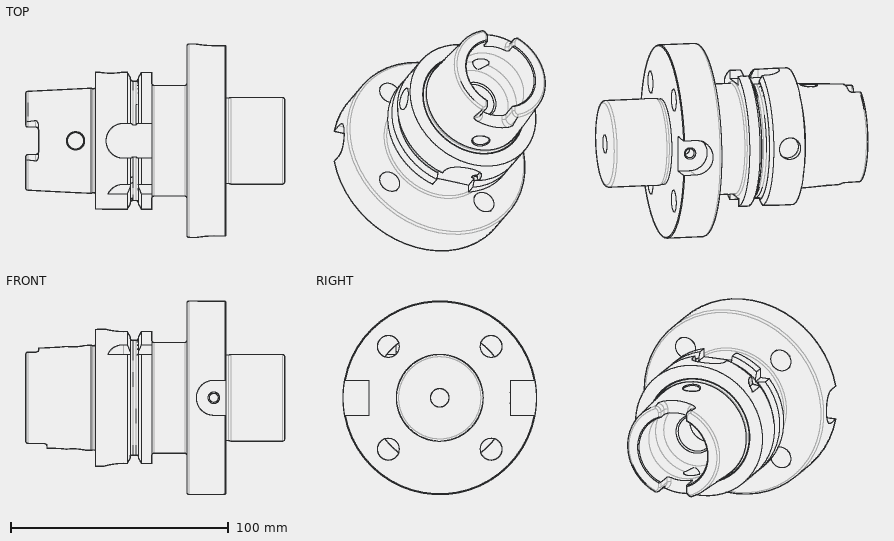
import cadquery as cq
import math


TAPER_FRONT_X = -32.0
TAPER_END_X = -2.0
COLLAR_END_X = 26.0
FLANGE_FRONT_X = 42.0
FLANGE_BACK_X = 60.0
SPIGOT_END_X = 87.0

GAUGE_RADIUS = 48.02 / 2
GAUGE_X = -6.3
TAPER_PER_SIDE = 1 / 20
FRONT_ROUND = 1.0
RELIEF_RADIUS = 24.0
RELIEF_FRONT_X = -1.3
RELIEF_BACK_X = -0.6
FACE_RELIEF_RADIUS = 25.2
FACE_RELIEF_DEPTH = 0.2
RELIEF_ROUND = FACE_RELIEF_DEPTH - RELIEF_BACK_X
FACE_RELIEF_INNER_RADIUS = RELIEF_RADIUS + RELIEF_ROUND

COLLAR_RADIUS = 63.0 / 2
GROOVE_CENTRE_X = 17.9
GROOVE_FLOOR_RADIUS = 55.0 / 2
GROOVE_THROAT_HALF_WIDTH = 1.8
GROOVE_FLANK_DEPTH = 2.5
GROOVE_FLANK_ANGLE = 60.0
GROOVE_FLOOR_ROUND = 1.1

NECK_RADIUS = 51.0 / 2
NECK_ROUND = 0.9
FLANGE_RADIUS = 89.0 / 2
FLANGE_FRONT_ROUND = 1.0
FLANGE_BACK_CHAMFER = 0.4
SPIGOT_RADIUS = 40.0 / 2
SPIGOT_RELIEF_RADIUS = 39.4 / 2
SPIGOT_RELIEF_FLAT = 1.2
SPIGOT_RELIEF_LENGTH = 2.4
SPIGOT_END_ROUND = 1.1

CLAMP_BORE_RADIUS = 34.0 / 2
CLAMP_BORE_CHAMFER = 0.5
CLAMP_BORE_END_X = -19.5
CAVITY_FLOOR_RADIUS = 37.0 / 2
CAVITY_FLOOR_X = -5.2
CAVITY_FLOOR_ROUND = 2.8
TUBE_BORE_RADIUS = 17.0 / 2
TUBE_BORE_MOUTH_RADIUS = 18.5 / 2
TUBE_BORE_DEPTH = 15.0
COOLANT_RADIUS = 8.4 / 2

DRIVE_SLOT_WIDTH = 12.54
DRIVE_SLOT_FLARE_RADIUS = 2.75
DRIVE_SLOT_TOP = 21.0
DRIVE_SLOT_ROOT = CLAMP_BORE_RADIUS / 2
DRIVE_SLOT_FLOOR_ROUND = 1.4
UPPER_DRIVE_SLOT_DEPTH = 5.9
LOWER_DRIVE_SLOT_DEPTH = 9.7

ACCESS_HOLE_X = -9.1
ACCESS_HOLE_RADIUS = 7.5 / 2
ACCESS_HOLE_CHAMFER = 0.45

COLLAR_SLOT_CENTRE_X = 12.9
COLLAR_SLOT_FLOOR = 26.5
UPPER_COLLAR_SLOT_WIDTH = 16.0
LOWER_COLLAR_SLOT_WIDTH = 18.0
NOTCH_WALL = 20.0
NOTCH_CUTTER_RADIUS = 8.0
CHIP_HOLE_X = 7.0
CHIP_HOLE_RADIUS = 10.0 / 2
CHIP_HOLE_DEPTH = 4.6

KEY_SEAT_WIDTH = 16.1
KEY_SEAT_CENTRE_X = 54.4
KEY_SEAT_FLOOR = 32.5
KEY_SCREW_RADIUS = 4.13 / 2
KEY_SCREW_CHAMFER = 0.6
KEY_SCREW_DEPTH = 10.0
MOUNTING_HOLE_RADIUS = 10.0 / 2
MOUNTING_CIRCLE_RADIUS = 66.7 / 2
MOUNTING_HOLE_COUNT = 4

CLEARANCE = 1.0
OUTSIDE = COLLAR_RADIUS
DIAGONAL = math.sqrt(0.5)


def taper_radius(x):
    return GAUGE_RADIUS + (x - GAUGE_X) * TAPER_PER_SIDE


def disc(x_start, x_end, radius):
    """Cylinder on the tool axis."""
    return cq.Workplane("YZ", origin=(x_start, 0, 0)).circle(radius).extrude(x_end - x_start)


def revolved(points):
    """Solid of revolution about X from (x, radius) points that run outside the axis."""
    closed = [(points[0][0], 0)] + points + [(points[-1][0], 0)]
    return cq.Workplane("XY").polyline(closed).close().revolve(360, (0, 0, 0), (1, 0, 0))


def taper_shank():
    """Cone, relief groove and a quarter round that runs into the face relief."""
    sag = RELIEF_ROUND * (1 - DIAGONAL)
    return (
        cq.Workplane("XY")
        .moveTo(TAPER_FRONT_X, 0)
        .lineTo(TAPER_FRONT_X, taper_radius(TAPER_FRONT_X))
        .lineTo(TAPER_END_X, taper_radius(TAPER_END_X))
        .lineTo(RELIEF_FRONT_X, RELIEF_RADIUS)
        .lineTo(RELIEF_BACK_X, RELIEF_RADIUS)
        .threePointArc(
            (FACE_RELIEF_DEPTH - sag, RELIEF_RADIUS + sag),
            (FACE_RELIEF_DEPTH, FACE_RELIEF_INNER_RADIUS),
        )
        .lineTo(FACE_RELIEF_DEPTH, 0)
        .close()
        .revolve(360, (0, 0, 0), (1, 0, 0))
    )


def face_relief():
    """Shallow undercut of the contact face around the root of the taper."""
    return revolved([(0, FACE_RELIEF_RADIUS), (FACE_RELIEF_DEPTH, FACE_RELIEF_INNER_RADIUS)])


def clamping_cavity():
    """Cylindrical mouth bore, then a slowly widening cone down to a rounded floor."""
    mouth_radius = CLAMP_BORE_RADIUS + CLAMP_BORE_CHAMFER
    cavity = revolved([
        (TAPER_FRONT_X, mouth_radius),
        (TAPER_FRONT_X + CLAMP_BORE_CHAMFER, CLAMP_BORE_RADIUS),
        (CLAMP_BORE_END_X, CLAMP_BORE_RADIUS),
        (CAVITY_FLOOR_X, CAVITY_FLOOR_RADIUS),
    ])
    return cavity.faces(">X").edges().fillet(CAVITY_FLOOR_ROUND)


def drive_slot(depth):
    """Slot on the +Z side whose walls flare outward in arcs, with a rounded floor."""
    half_width = DRIVE_SLOT_WIDTH / 2
    flare_end = half_width + DRIVE_SLOT_FLARE_RADIUS
    flare_start_z = DRIVE_SLOT_TOP - DRIVE_SLOT_FLARE_RADIUS
    arc_mid_y = flare_end - DRIVE_SLOT_FLARE_RADIUS * DIAGONAL
    arc_mid_z = flare_start_z + DRIVE_SLOT_FLARE_RADIUS * DIAGONAL
    cutter = (
        cq.Workplane("YZ", origin=(TAPER_FRONT_X, 0, 0))
        .moveTo(-half_width, DRIVE_SLOT_ROOT)
        .lineTo(half_width, DRIVE_SLOT_ROOT)
        .lineTo(half_width, flare_start_z)
        .threePointArc((arc_mid_y, arc_mid_z), (flare_end, DRIVE_SLOT_TOP))
        .lineTo(OUTSIDE, DRIVE_SLOT_TOP)
        .lineTo(OUTSIDE, OUTSIDE)
        .lineTo(-OUTSIDE, OUTSIDE)
        .lineTo(-OUTSIDE, DRIVE_SLOT_TOP)
        .lineTo(-flare_end, DRIVE_SLOT_TOP)
        .threePointArc((-arc_mid_y, arc_mid_z), (-half_width, flare_start_z))
        .close()
        .extrude(depth)
    )
    wall_edges = cq.selectors.BoxSelector(
        (TAPER_FRONT_X + depth - CLEARANCE, -OUTSIDE + CLEARANCE, DRIVE_SLOT_ROOT + CLEARANCE),
        (TAPER_FRONT_X + depth + CLEARANCE, OUTSIDE - CLEARANCE, OUTSIDE - CLEARANCE),
    )
    return cutter.faces(">X").edges(wall_edges).fillet(DRIVE_SLOT_FLOOR_ROUND)


def flip_to_minus_z(cutter):
    return cutter.rotate((0, 0, 0), (1, 0, 0), 180)


def half_shank(slot_depth):
    """Solid half of the shank on the +Z side, with its drive slot and access hole."""
    shank = taper_shank().cut(drive_slot(slot_depth))
    front_rim = [
        edge
        for edge in shank.faces("<X").edges().vals()
        if math.hypot(edge.positionAt(0.5).y, edge.positionAt(0.5).z) > DRIVE_SLOT_ROOT + CLEARANCE
    ]
    shank = shank.newObject(front_rim).fillet(FRONT_ROUND)
    access_hole = (
        cq.Workplane("XY", origin=(ACCESS_HOLE_X, 0, 0))
        .circle(ACCESS_HOLE_RADIUS)
        .extrude(OUTSIDE)
    )
    mouth_edge = cq.selectors.BoxSelector(
        (ACCESS_HOLE_X - CLEARANCE, -CLEARANCE, CLAMP_BORE_RADIUS),
        (ACCESS_HOLE_X + CLEARANCE, CLEARANCE, OUTSIDE),
    )
    shank = shank.cut(access_hole).edges(mouth_edge).chamfer(ACCESS_HOLE_CHAMFER)
    upper_side = cq.Workplane("XY").rect(2 * FLANGE_RADIUS, 2 * FLANGE_RADIUS).extrude(OUTSIDE)
    return shank.intersect(upper_side)


def hollow_shank():
    upper = half_shank(UPPER_DRIVE_SLOT_DEPTH)
    lower = flip_to_minus_z(half_shank(LOWER_DRIVE_SLOT_DEPTH))
    return upper.union(lower).cut(clamping_cavity())


def gripper_groove():
    """Ring-shaped V-groove with straight throat walls and a rounded floor."""
    flank_width = GROOVE_FLANK_DEPTH / math.tan(math.radians(GROOVE_FLANK_ANGLE))
    mouth_half_width = GROOVE_THROAT_HALF_WIDTH + flank_width
    throat_radius = COLLAR_RADIUS - GROOVE_FLANK_DEPTH
    blank = disc(GROOVE_CENTRE_X - mouth_half_width, GROOVE_CENTRE_X + mouth_half_width, COLLAR_RADIUS)
    core = revolved([
        (GROOVE_CENTRE_X - mouth_half_width, COLLAR_RADIUS),
        (GROOVE_CENTRE_X - GROOVE_THROAT_HALF_WIDTH, throat_radius),
        (GROOVE_CENTRE_X - GROOVE_THROAT_HALF_WIDTH, GROOVE_FLOOR_RADIUS),
        (GROOVE_CENTRE_X + GROOVE_THROAT_HALF_WIDTH, GROOVE_FLOOR_RADIUS),
        (GROOVE_CENTRE_X + GROOVE_THROAT_HALF_WIDTH, throat_radius),
        (GROOVE_CENTRE_X + mouth_half_width, COLLAR_RADIUS),
    ])
    ring = blank.cut(core)
    floor_edges = [
        edge
        for edge in ring.edges("%CIRCLE").vals()
        if edge.radius() < GROOVE_FLOOR_RADIUS + CLEARANCE
    ]
    return ring.newObject(floor_edges).fillet(GROOVE_FLOOR_ROUND)


def round_ended_slot(centre_x, end_x, width):
    """Prism that rises from Z = 0, round at its -X end and square at end_x."""
    radius = width / 2
    return (
        cq.Workplane("XY")
        .moveTo(end_x, radius)
        .lineTo(centre_x, radius)
        .threePointArc((centre_x - radius, 0), (centre_x, -radius))
        .lineTo(end_x, -radius)
        .close()
        .extrude(FLANGE_RADIUS)
    )


def collar_slot(width):
    slot = round_ended_slot(COLLAR_SLOT_CENTRE_X, COLLAR_END_X, width)
    return slot.translate((0, 0, COLLAR_SLOT_FLOOR))


def orientation_notch():
    """Square-cornered notch on the (-Y, +Z) diagonal, run out by the cutter's radius."""
    wall_to_axis = NOTCH_WALL + NOTCH_CUTTER_RADIUS
    slot = round_ended_slot(COLLAR_SLOT_CENTRE_X, COLLAR_END_X, 2 * NOTCH_CUTTER_RADIUS)
    return slot.translate((0, -wall_to_axis, NOTCH_WALL))


def chip_hole():
    return (
        cq.Workplane("XZ", origin=(CHIP_HOLE_X, COLLAR_RADIUS, 0))
        .circle(CHIP_HOLE_RADIUS)
        .extrude(CHIP_HOLE_DEPTH)
    )


def collar():
    body = disc(0, COLLAR_END_X, COLLAR_RADIUS).cut(gripper_groove())
    body = body.cut(collar_slot(UPPER_COLLAR_SLOT_WIDTH))
    body = body.cut(flip_to_minus_z(collar_slot(LOWER_COLLAR_SLOT_WIDTH)))
    return body.cut(orientation_notch()).cut(chip_hole()).cut(face_relief())


def neck():
    """Cylinder that widens in a quarter round into the collar and into the flange."""
    foot_radius = NECK_RADIUS + NECK_ROUND
    sag = NECK_ROUND * (1 - DIAGONAL)
    return (
        cq.Workplane("XY")
        .moveTo(COLLAR_END_X, 0)
        .lineTo(COLLAR_END_X, foot_radius)
        .threePointArc((COLLAR_END_X + sag, NECK_RADIUS + sag), (COLLAR_END_X + NECK_ROUND, NECK_RADIUS))
        .lineTo(FLANGE_FRONT_X - NECK_ROUND, NECK_RADIUS)
        .threePointArc((FLANGE_FRONT_X - sag, NECK_RADIUS + sag), (FLANGE_FRONT_X, foot_radius))
        .lineTo(FLANGE_FRONT_X, 0)
        .close()
        .revolve(360, (0, 0, 0), (1, 0, 0))
    )


def key_seat():
    """Driver-key seat on the -Y side with its chamfered screw hole."""
    seat = round_ended_slot(KEY_SEAT_CENTRE_X, FLANGE_BACK_X, KEY_SEAT_WIDTH)
    seat = seat.translate((0, 0, KEY_SEAT_FLOOR)).rotate((0, 0, 0), (1, 0, 0), 90)
    floor = cq.Workplane("XZ", origin=(KEY_SEAT_CENTRE_X, -KEY_SEAT_FLOOR, 0))
    screw_hole = floor.circle(KEY_SCREW_RADIUS).extrude(-KEY_SCREW_DEPTH)
    chamfer = (
        floor.circle(KEY_SCREW_RADIUS + KEY_SCREW_CHAMFER)
        .workplane(offset=-KEY_SCREW_CHAMFER)
        .circle(KEY_SCREW_RADIUS)
        .loft()
    )
    return seat.union(screw_hole).union(chamfer)


def mounting_holes():
    return (
        cq.Workplane("YZ", origin=(FLANGE_FRONT_X, 0, 0))
        .polarArray(MOUNTING_CIRCLE_RADIUS, 45, 360, MOUNTING_HOLE_COUNT)
        .circle(MOUNTING_HOLE_RADIUS)
        .extrude(FLANGE_BACK_X - FLANGE_FRONT_X)
    )


def flange():
    body = disc(FLANGE_FRONT_X, FLANGE_BACK_X, FLANGE_RADIUS)
    body = body.faces("<X").edges().fillet(FLANGE_FRONT_ROUND)
    body = body.faces(">X").edges().chamfer(FLANGE_BACK_CHAMFER)
    for angle in (0, 180):
        body = body.cut(key_seat().rotate((0, 0, 0), (1, 0, 0), angle))
    return body.cut(mounting_holes())


def spigot():
    body = revolved([
        (FLANGE_BACK_X, SPIGOT_RELIEF_RADIUS),
        (FLANGE_BACK_X + SPIGOT_RELIEF_FLAT, SPIGOT_RELIEF_RADIUS),
        (FLANGE_BACK_X + SPIGOT_RELIEF_LENGTH, SPIGOT_RADIUS),
        (SPIGOT_END_X, SPIGOT_RADIUS),
    ])
    return body.faces(">X").edges().fillet(SPIGOT_END_ROUND)


def axial_bores():
    """Coolant-tube bore with a 45-degree mouth, then the coolant channel to the far end."""
    mouth_depth = TUBE_BORE_MOUTH_RADIUS - TUBE_BORE_RADIUS
    return revolved([
        (CAVITY_FLOOR_X, TUBE_BORE_MOUTH_RADIUS),
        (CAVITY_FLOOR_X + mouth_depth, TUBE_BORE_RADIUS),
        (CAVITY_FLOOR_X + TUBE_BORE_DEPTH, TUBE_BORE_RADIUS),
        (CAVITY_FLOOR_X + TUBE_BORE_DEPTH, COOLANT_RADIUS),
        (SPIGOT_END_X, COOLANT_RADIUS),
    ])


result = hollow_shank().union(collar()).union(neck()).union(flange()).union(spigot()).cut(axial_bores())